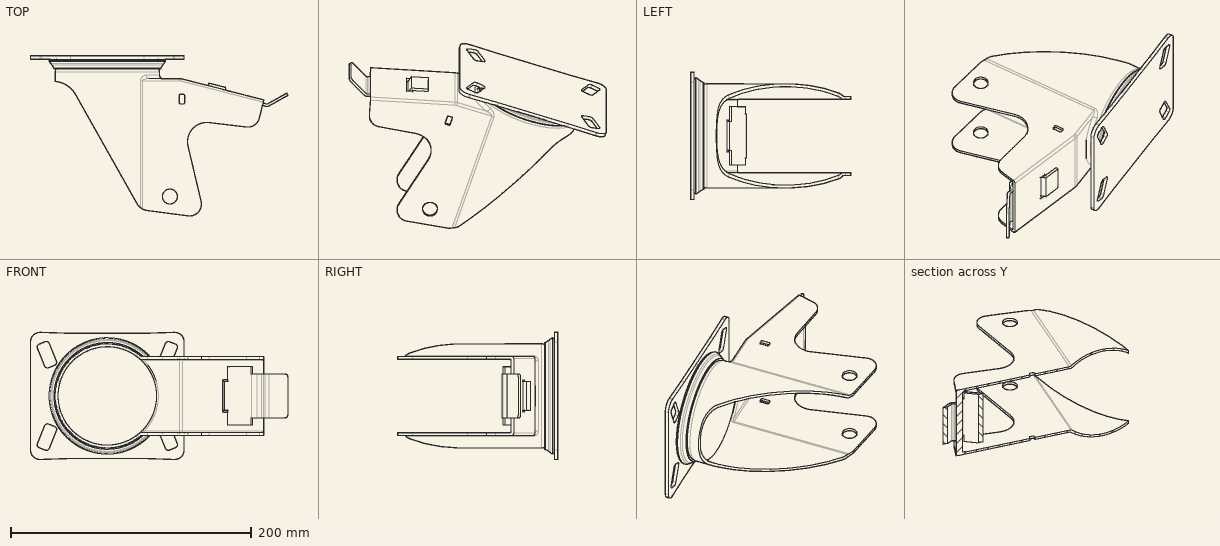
import cadquery as cq
import math


plate_length = 128.0
plate_height = 106.0
plate_waist = 104.4
waist_half_length = 30.7
pad_half_length = 55.0
plate_thickness = 3.0
plate_corner_radius = 8.0
slot_length = 21.0
slot_width = 10.5
slot_corner_radius = 2.5
slot_offset_x = 50.3
slot_offset_z = 34.3
slot_tilt = 22.0

head_radius = 48.5
head_lower_radius = 89.0 / 2
head_neck_radius = 47.8
head_lip_top = 4.0
head_cone_top = 4.6
head_rim_top = 10.4
head_bottom = 11.0
race_seam_top = (47.2, -6.5)
race_seam_bottom = (46.2, -7.8)

sheet = 2.5
drum_radius = 87.0 / 2
drum_shoulder_bottom = 13.6
drum_shoulder_step = 0.6
drum_floor = 19.5
leg_span = 66.0
web_top = 19.0
web_bend_x = 61.3
web_slope = math.tan(math.radians(14.4))
web_end_x = 130.4
web_bend_radius = 9.0
web_edge_radius = 2.0
web_inner_radius = 1.2
drum_leg_bend_radius = 3.0
web_drum_radius = 1.5
cut_depth = 150.0
pick_reach = 0.05
axle_diameter = 12.3
axle_x = 52.1
axle_y = -117.2
window_width = 4.3
window_length = 7.8
window_x = 62.1
window_y = -36.1
window_corner_radius = 0.8

drum_lip_y = -21.3
rim = (-31.2, -24.0)
rim_radius = 42.0 / 2
heel = (27.5, -128.2)
heel_radius = 12.0
toe = (81.5, -135.3)
toe_radius = 10.0
crotch = (62.0, -53.0)
crotch_radius = 16.0
web_tip = (124.5, -60.5)
web_tip_radius = 10.0

pedal_sheet = 2.2
tongue_half_width = 12.0
wing_half_width = 24.3
arm_half_width = 18.4
web_slot_half_width = 13.4
web_slot_start = 96.0
web_slot_length = 5.1
tongue_start_x = 83.9
tongue_bend_x = 96.4
wing_start_x = 100.2
wing_end_x = 119.6
neck_x = 97.5
wing_start_y = -34.2
wing_slope = math.tan(math.radians(31.0))
arm_bend_x = 122.6
hump = (129.2, -41.15)
valley = (132.9, -42.8)
pedal_tip = (150.45, -33.0)
pedal_tip_radius = 3.0
pedal_inner_radius = 1.5
pedal_outer_radius = pedal_inner_radius + pedal_sheet


def web_y(x):
    """Height of the web's sloped outer face at x."""
    return -web_top - (x - web_bend_x) * web_slope


def wing_y(x):
    """Height of the wings' lower face at x."""
    return wing_start_y - (x - wing_start_x) * wing_slope


def disc(radius, y_start, y_end):
    """Cylinder on the swivel axis between two depths below the plate's back face."""
    return cq.Workplane("XZ", origin=(0, -y_start, 0)).circle(radius).extrude(y_end - y_start)


def prism(points, width):
    """XY outline extruded evenly to both sides of Z = 0."""
    return cq.Workplane("XY").polyline(points).close().extrude(width / 2, both=True)


def round_corner(solid, point, radius):
    """Round the edge along Z that passes through an XY point."""
    x, y = point
    box = cq.selectors.BoxSelector(
        (x - pick_reach, y - pick_reach, -cut_depth),
        (x + pick_reach, y + pick_reach, cut_depth),
    )
    return solid.edges("|Z").edges(box).fillet(radius)


def make_plate():
    """Waisted plate with a leaning bolt slot in each corner."""
    half_length = plate_length / 2
    half_height = plate_height / 2
    upper = [
        (-half_length, half_height),
        (-pad_half_length, half_height),
        (-waist_half_length, plate_waist / 2),
        (waist_half_length, plate_waist / 2),
        (pad_half_length, half_height),
        (half_length, half_height),
    ]
    lower = [(x, -z) for x, z in reversed(upper)]
    plate = cq.Workplane("XZ").polyline(upper + lower).close().extrude(plate_thickness)
    for side in ("<X", ">X"):
        plate = plate.faces(side).edges("|Y").fillet(plate_corner_radius)
    for sx in (-1, 1):
        for sz in (-1, 1):
            slot = (
                cq.Workplane("XZ")
                .rect(slot_width, slot_length)
                .extrude(plate_thickness)
                .edges("|Y")
                .fillet(slot_corner_radius)
                .rotate((0, 0, 0), (0, 1, 0), sx * sz * slot_tilt)
                .translate((sx * slot_offset_x, 0, sz * slot_offset_z))
            )
            plate = plate.cut(slot)
    return plate


def make_head():
    """Tapered swivel bearing between plate and fork."""
    return (
        cq.Workplane("XY")
        .moveTo(0, -plate_thickness)
        .lineTo(head_neck_radius, -plate_thickness)
        .lineTo(head_neck_radius, -head_lip_top)
        .lineTo(head_radius, -head_lip_top)
        .lineTo(head_radius, -head_cone_top)
        .lineTo(*race_seam_top)
        .lineTo(*race_seam_bottom)
        .lineTo(head_lower_radius, -head_rim_top)
        .lineTo(head_lower_radius, -head_bottom)
        .lineTo(0, -head_bottom)
        .close()
        .revolve(360, (0, 0, 0), (0, 1, 0))
    )


def bent_block(drop, width, edge_radius):
    """Block under the bent web, its top lowered by drop and its long top edges rounded."""
    top_bend = (web_bend_x, -web_top - drop)
    end_x = cut_depth
    points = [
        (0, -web_top - drop),
        top_bend,
        (end_x, web_y(end_x) - drop),
        (end_x, -cut_depth),
        (0, -cut_depth),
    ]
    block = round_corner(prism(points, width), top_bend, web_bend_radius)
    return block.faces("<Z or >Z").edges(">Y").edges("|X").fillet(edge_radius)


def side_outline():
    """Solid bounding the fork as seen along Z."""
    points = [
        (-drum_radius, -head_bottom),
        (-drum_radius, drum_lip_y),
        rim,
        heel,
        toe,
        crotch,
        web_tip,
        (web_end_x, web_y(web_end_x)),
        (web_bend_x, web_y(web_bend_x)),
        (drum_radius + web_drum_radius, -web_top),
        (drum_radius + web_drum_radius, -head_bottom),
    ]
    outline = prism(points, 3 * leg_span)
    corners = [
        (rim, rim_radius),
        (heel, heel_radius),
        (toe, toe_radius),
        (crotch, crotch_radius),
        (web_tip, web_tip_radius),
    ]
    for corner, radius in corners:
        outline = round_corner(outline, corner, radius)
    return outline


def make_drum():
    """Solid round of the drum, its top shoulder drawn in by a shallow arc."""
    depth = drum_shoulder_bottom - head_bottom
    arc_radius = (depth**2 + drum_shoulder_step**2) / (2 * drum_shoulder_step)
    return (
        cq.Workplane("XY")
        .moveTo(0, -head_bottom)
        .lineTo(drum_radius - drum_shoulder_step, -head_bottom)
        .radiusArc((drum_radius, -drum_shoulder_bottom), arc_radius)
        .lineTo(drum_radius, -cut_depth)
        .lineTo(0, -cut_depth)
        .close()
        .revolve(360, (0, 0, 0), (0, 1, 0))
    )


def make_web_flare():
    """Concave fillet where the drum rises out of the web."""
    outer_radius = drum_radius + web_drum_radius
    flat_half_width = leg_span / 2 - web_edge_radius
    flare = (
        cq.Workplane("XY")
        .moveTo(drum_radius - sheet / 2, -web_top + web_drum_radius)
        .lineTo(drum_radius, -web_top + web_drum_radius)
        .radiusArc((outer_radius, -web_top), -web_drum_radius)
        .lineTo(outer_radius, -web_top - sheet / 2)
        .lineTo(drum_radius - sheet / 2, -web_top - sheet / 2)
        .close()
        .revolve(360, (0, 0, 0), (0, 1, 0))
    )
    clip = (
        cq.Workplane("XY")
        .box(outer_radius, outer_radius, 2 * flat_half_width, centered=(False, True, True))
        .translate((0, -web_top, 0))
    )
    return flare.intersect(clip)


def make_fork():
    """Drum, two legs and bent web, hollowed to sheet thickness and trimmed to the side outline."""
    outer = make_drum().union(bent_block(0, leg_span, web_edge_radius))
    leg_bends = cq.selectors.BoxSelector(
        (drum_radius / 2, -cut_depth, -leg_span),
        (drum_radius, -web_top, leg_span),
    )
    outer = outer.edges("|Y").edges(leg_bends).fillet(drum_leg_bend_radius).union(make_web_flare())
    inner_drum = disc(drum_radius - sheet, drum_floor, cut_depth)
    web_drop = sheet * math.sqrt(1 + web_slope**2)
    inner_block = bent_block(web_drop, leg_span - 2 * sheet, web_inner_radius)
    cavity = inner_drum.union(inner_block)
    mouth_edges = cq.selectors.BoxSelector(
        (drum_radius / 2, -web_top - 2 * sheet, -leg_span / 2),
        (drum_radius, -web_top - sheet / 2, leg_span / 2),
    )
    cavity = cavity.edges("%CIRCLE").edges(mouth_edges).fillet(web_drum_radius)
    fork = outer.cut(cavity).intersect(side_outline())
    axle = cq.Workplane("XY").center(axle_x, axle_y).circle(axle_diameter / 2)
    fork = fork.cut(axle.extrude(leg_span, both=True))
    window = (
        cq.Workplane("XY")
        .center(window_x, window_y)
        .rect(window_width, window_length)
        .extrude(leg_span, both=True)
        .edges("|Z")
        .fillet(window_corner_radius)
    )
    return fork.cut(window)


def make_web_slot():
    """Cutter for the slot in the web that the pedal tongue passes through."""
    angle = math.degrees(math.atan(web_slope))
    return (
        cq.Workplane("XY")
        .box(web_slot_length, 3 * sheet, 2 * web_slot_half_width, centered=(False, True, True))
        .rotate((0, 0, 0), (0, 0, 1), -angle)
        .translate((web_slot_start, web_y(web_slot_start) - sheet / 2, 0))
    )


def offset_path(path, distance):
    """Mitred copy of an open path, moved sideways to its left."""
    headings = [math.atan2(b[1] - a[1], b[0] - a[0]) for a, b in zip(path, path[1:])]
    moved = []
    for i, (x, y) in enumerate(path):
        before = headings[max(i - 1, 0)]
        after = headings[min(i, len(headings) - 1)]
        reach = distance / math.cos((after - before) / 2)
        normal = (before + after) / 2 + math.pi / 2
        moved.append((x + reach * math.cos(normal), y + reach * math.sin(normal)))
    return moved


def pedal_strip(path, half_width):
    """Sheet strip whose lower face follows the path."""
    upper = offset_path(path, pedal_sheet)
    return prism(path + upper[::-1], 2 * half_width)


def make_pedal():
    """Tongue hooked over the web, wide wings under it and a cranked arm ending in the tread."""
    wing_start = (wing_start_x, wing_y(wing_start_x))
    wing_end = (wing_end_x, wing_y(wing_end_x))
    neck = (neck_x, wing_y(neck_x))
    tongue_path = [
        (tongue_start_x, web_y(tongue_start_x)),
        (tongue_bend_x, web_y(tongue_bend_x)),
        neck,
        wing_end,
    ]
    arm_path = [wing_start, (arm_bend_x, wing_y(arm_bend_x)), hump, valley, pedal_tip]
    arm = pedal_strip(arm_path, arm_half_width)
    arm_upper = offset_path(arm_path, pedal_sheet)
    for bend in (1, 2, 3):
        lower_is_outer = bend != 2
        lower_radius = pedal_outer_radius if lower_is_outer else pedal_inner_radius
        upper_radius = pedal_inner_radius if lower_is_outer else pedal_outer_radius
        arm = round_corner(arm, arm_path[bend], lower_radius)
        arm = round_corner(arm, arm_upper[bend], upper_radius)
    arm = arm.faces(">X").edges("<Z or >Z").fillet(pedal_tip_radius)
    wings = pedal_strip([wing_start, wing_end], wing_half_width)
    return pedal_strip(tongue_path, tongue_half_width).union(wings).union(arm).clean()


bracket = make_plate().union(make_head()).union(make_fork()).cut(make_web_slot())
pedal = make_pedal()
result = cq.Compound.makeCompound([bracket.solids().val(), pedal.solids().val()])